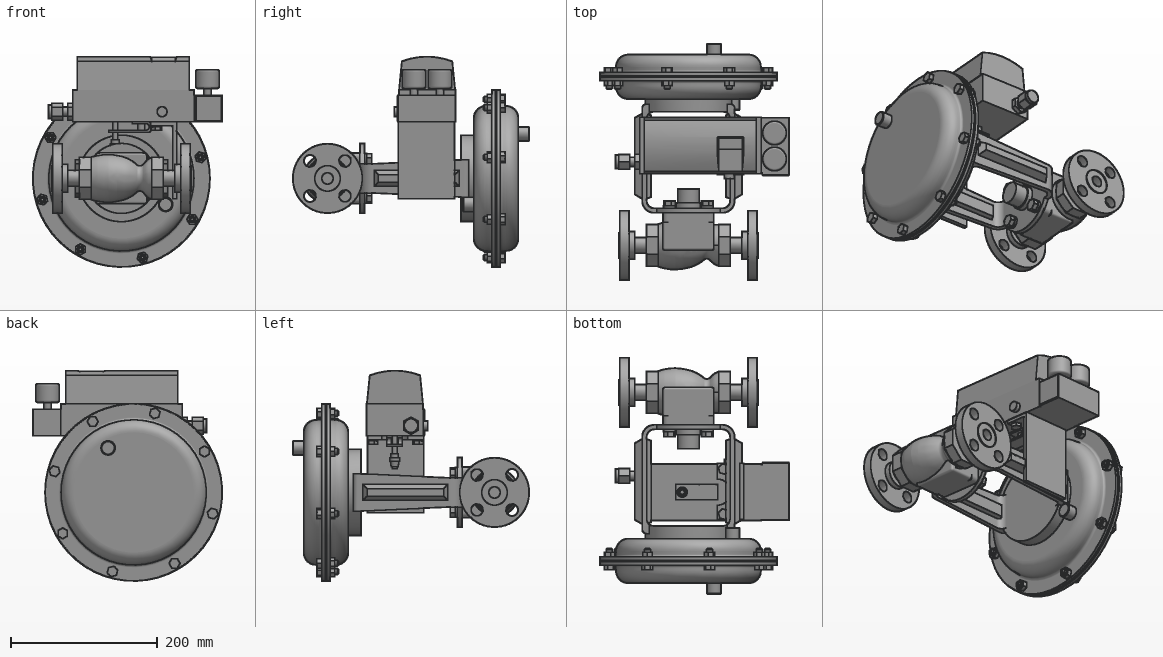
import cadquery as cq
import math


X_DIR = (1, 0, 0)
Y_DIR = (0, 1, 0)
Z_DIR = (0, 0, 1)
HEX = 6
OCTAGON = 8

flange_radius = 120.8
flange_back_y = 235.5
flange_front_y = 224.0
gasket_radius = 119.8
gasket_back_y = 230.5
gasket_front_y = 228.7
dome_radius = 99.0
dome_back_y = 260.0
dome_front_y = 199.0
dome_corner = 17.0
dome_flare = 3.2
bolt_count = 8
bolt_circle = 111.5
first_bolt_angle = 15
bolt_across_flats = 13.0
bolt_head_height = 6.5
stud_radius = 4.2
stud_length = 11.5
stud_chamfer = 2.0
port_radius = 9.7
port_chamfer = 1.0
supply_port_x = 34.8
supply_port_z = 60.5
supply_port_end_y = 274.8
vent_port_x = 60.2
vent_port_z = -35.5
vent_port_end_y = 184.3

neck_radius = 59.0
neck_front_y = 181.7
plate_thickness = 6.5
arm_outer_x = 63.0
arm_inner_x = arm_outer_x - plate_thickness
arm_back_y = 192.3
arm_back_rounding = 5.8
arm_neck_fillet = 9.0
arm_bend_radius = 16.8
arm_back_half_width = 25.5
arm_front_half_width = 20.0
mount_radius = 47.7
mount_front_y = 44.0
mount_back_y = mount_front_y + plate_thickness
bend_start_y = mount_front_y + arm_bend_radius
rib_back_y = 179.5
rib_front_y = 63.5
rib_half_width = 11.0
outer_rib_height = 10.0
outer_rib_slope = 5.8
inner_rib_height = 5.8
inner_rib_slope = 2.3

pipe_flange_radius = 47.5
pipe_flange_outer_x = 93.7
pipe_flange_inner_x = 81.0
raised_face_radius = 17.5
raised_face_x = 95.0
hub_radius = 19.0
hub_inner_x = 72.8
pipe_radius = 11.0
bore_radius = 7.7
pipe_hole_radius = 8.0
pipe_hole_offset = 23.8
union_outer_x = 57.3
union_inner_x = 41.2
union_across_flats = 57.3
shoulder_radius = 28.5
globe_inlet = (-union_inner_x, 29.0)
globe_inlet_flank = (-31.0, 32.0)
globe_crown = (-17.7, 33.2)
globe_crown_side = (-12.0, 33.0)
globe_crown_end = (-6.0, 32.0)
globe_outlet_flank = (8.5, 28.0)
globe_waist_start = (21.3, 19.5)
globe_waist = (25.5, 18.5)
globe_waist_end = (29.5, 20.3)
globe_outlet_flare = (34.8, 25.0)
globe_outlet = (union_inner_x, shoulder_radius)
bonnet_half_width = 34.8
bonnet_split_y = 31.5
bonnet_front_y = -6.8
bonnet_edge_radius = 3.2
bonnet_corner_radius = 6.5
boss_radius = 14.8
boss_end_y = 77.0
boss_base_radius = 16.8
boss_base_y = 58.0
bonnet_bolt_offset = 25.8
bonnet_bolt_across_flats = 14.5
bonnet_bolt_turn = 15
washer_radius = 8.5
washer_back_y = 53.8
bonnet_bolt_back_y = 60.5

case_left_x = -66.5
case_right_x = 99.0
case_front_y = 97.3
case_back_y = 174.5
case_bottom_z = 77.0
case_top_z = 120.5
case_mid_y = (case_front_y + case_back_y) / 2
cover_left_x = -60.2
cover_right_x = 92.5
cover_base_half_depth = 38.3
cover_top_half_depth = 34.5
cover_mid_y = case_front_y + cover_base_half_depth
cover_shoulder_z = 159.5
cover_crown_z = 166.0
window_left_x = 41.5
window_right_x = 73.0
window_back_y = 146.0
window_step_y = 130.8
window_floor_z = cover_shoulder_z
window_low_floor_z = 157.0
window_draft = 20
gauge_adapter_front_y = 98.5
gauge_block_left_x = 100.5
gauge_block_right_x = 137.2
gauge_block_front_y = 95.0
gauge_block_back_y = 174.0
gauge_block_top_z = 113.5
gauge_block_chamfer = 1.3
gauge_x = 117.3
gauge_ys = (117.5, 153.0)
gauge_radius = 16.0
gauge_bottom_z = 122.5
gauge_top_z = 148.2
gauge_rounding = 3.0
gauge_stem_radius = 5.0
connection_z = 90.8
cable_gland_y = 113.7
gland_across_flats = 20.3
gland_end_x = -99.5
gland_nut_left_x = -95.0
gland_nut_right_x = -79.5
gland_collar_x = -73.0
gland_end_radius = 9.5
gland_neck_radius = 6.5
plug_x = 55.5
plug_radius = 6.8
plug_end_y = 90.8

bracket_left_x = 39.5
bracket_right_x = 75.5
bracket_thickness = 5.5
bracket_front_y = 96.3
bracket_back_y = 173.0
bracket_bottom_z = -27.7
bracket_notch_radius = 17.7
bracket_bolt_x = 48.0
bracket_bolt_ys = (104.5, 166.0)
bracket_bolt_turn = 15
bracket_bolt_neck_radius = 4.0
bracket_bolt_head_top_z = 70.2
bracket_bolt_head_bottom_z = 65.5
lever_left_x = -17.5
lever_upper_left_x = 14.5
lever_right_x = 40.3
lever_top_z = case_bottom_z
lever_bottom_z = 63.0
lever_thickness = 2.5
lever_width = 21.3
lever_outer_rounding = 2.5
lever_inner_rounding = 4.0
spindle_x = 27.0
spindle_radius = 4.8
post_x = -8.5
post_radius = 3.5
post_end_profile = [
    (5.0, 52.5), (5.0, 47.5), (6.8, 47.5), (6.8, 42.2), (5.8, 42.2), (4.8, 35.0), (3.2, 35.0), (3.2, 32.5)
]


def rod(radius, start, end):
    """Cylinder between two points."""
    axis = cq.Vector(*end) - cq.Vector(*start)
    return cq.Workplane(cq.Solid.makeCylinder(radius, axis.Length, cq.Vector(*start), axis))


def prism(sides, across_flats, start, end, corner_direction):
    """Regular prism between two points, with a corner pointing along corner_direction."""
    axis = cq.Vector(*end) - cq.Vector(*start)
    plane = cq.Plane(origin=start, xDir=corner_direction, normal=axis.toTuple())
    corner_diameter = across_flats / math.cos(math.pi / sides)
    return cq.Workplane(plane).polygon(sides, corner_diameter).extrude(axis.Length)


def block(x_range, y_range, z_range):
    """Box between pairs of limits along X, Y and Z."""
    size = [limits[1] - limits[0] for limits in (x_range, y_range, z_range)]
    corner = (x_range[0], y_range[0], z_range[0])
    return cq.Workplane("XY").box(*size, centered=False).translate(corner)


def mirrored_in_x(shape):
    """A shape together with its mirror image across the YZ plane."""
    return shape.union(shape.mirror("YZ"))



def diaphragm_case():
    flare_radius = dome_radius + dome_flare
    flare_mid = dome_radius + dome_flare * (1 - math.sqrt(0.5))
    flare_rise = dome_flare * (1 - math.sqrt(0.5))
    corner_bulge = dome_corner * math.sqrt(0.5)
    corner_center_radius = dome_radius - dome_corner
    return (
        cq.Workplane("XY")
        .moveTo(0, dome_front_y)
        .lineTo(corner_center_radius, dome_front_y)
        .threePointArc(
            (corner_center_radius + corner_bulge, dome_front_y + dome_corner - corner_bulge),
            (dome_radius, dome_front_y + dome_corner),
        )
        .lineTo(dome_radius, flange_front_y - dome_flare)
        .threePointArc((flare_mid, flange_front_y - flare_rise), (flare_radius, flange_front_y))
        .lineTo(flange_radius, flange_front_y)
        .lineTo(flange_radius, gasket_front_y)
        .lineTo(gasket_radius, gasket_front_y)
        .lineTo(gasket_radius, gasket_back_y)
        .lineTo(flange_radius, gasket_back_y)
        .lineTo(flange_radius, flange_back_y)
        .lineTo(flare_radius, flange_back_y)
        .threePointArc((flare_mid, flange_back_y + flare_rise), (dome_radius, flange_back_y + dome_flare))
        .lineTo(dome_radius, dome_back_y - dome_corner)
        .threePointArc(
            (corner_center_radius + corner_bulge, dome_back_y - dome_corner + corner_bulge),
            (corner_center_radius, dome_back_y),
        )
        .lineTo(0, dome_back_y)
        .close()
        .revolve(360, (0, 0, 0), Y_DIR)
    )


def case_bolt():
    """Head, nut and stud end of one case bolt, on the +X side of the flange."""
    head = prism(
        HEX, bolt_across_flats,
        (bolt_circle, flange_back_y, 0), (bolt_circle, flange_back_y + bolt_head_height, 0), X_DIR,
    )
    nut = prism(
        HEX, bolt_across_flats,
        (bolt_circle, flange_front_y, 0), (bolt_circle, flange_front_y - bolt_head_height, 0), Z_DIR,
    )
    stud_end_y = flange_front_y - stud_length
    stud = rod(stud_radius, (bolt_circle, flange_back_y, 0), (bolt_circle, stud_end_y, 0))
    stud = stud.faces("<Y").chamfer(stud_chamfer)
    return head.union(nut).union(stud)


def make_actuator():
    body = diaphragm_case()
    bolt = case_bolt()
    for index in range(bolt_count):
        angle = first_bolt_angle + index * 360 / bolt_count
        body = body.union(bolt.rotate((0, 0, 0), Y_DIR, -angle))
    supply_port = rod(
        port_radius,
        (supply_port_x, flange_back_y, supply_port_z),
        (supply_port_x, supply_port_end_y, supply_port_z),
    ).faces(">Y").chamfer(port_chamfer)
    vent_port = rod(
        port_radius,
        (vent_port_x, flange_front_y, vent_port_z),
        (vent_port_x, vent_port_end_y, vent_port_z),
    ).faces("<Y").chamfer(port_chamfer)
    return body.union(supply_port).union(vent_port)



def arm_blank():
    """The +X arm as a bent strip, at its full width, running from the neck to the mounting disc."""
    inner_bend_radius = arm_bend_radius - plate_thickness
    bend_center_x = arm_outer_x - arm_bend_radius
    outer_mid = arm_bend_radius * math.sqrt(0.5)
    inner_mid = inner_bend_radius * math.sqrt(0.5)
    back_center_x = arm_outer_x - arm_back_rounding
    back_center_y = arm_back_y - arm_back_rounding
    back_mid = arm_back_rounding * math.sqrt(0.5)
    fillet_center_x = arm_inner_x - arm_neck_fillet
    fillet_center_y = neck_front_y - arm_neck_fillet
    fillet_mid = arm_neck_fillet * math.sqrt(0.5)
    return (
        cq.Workplane("XY", origin=(0, 0, -arm_back_half_width))
        .moveTo(0, mount_front_y)
        .lineTo(bend_center_x, mount_front_y)
        .threePointArc((bend_center_x + outer_mid, bend_start_y - outer_mid), (arm_outer_x, bend_start_y))
        .lineTo(arm_outer_x, back_center_y)
        .threePointArc((back_center_x + back_mid, back_center_y + back_mid), (back_center_x, arm_back_y))
        .lineTo(0, arm_back_y)
        .lineTo(0, neck_front_y)
        .lineTo(fillet_center_x, neck_front_y)
        .threePointArc(
            (fillet_center_x + fillet_mid, fillet_center_y + fillet_mid), (arm_inner_x, fillet_center_y)
        )
        .lineTo(arm_inner_x, bend_start_y)
        .threePointArc((bend_center_x + inner_mid, bend_start_y - inner_mid), (bend_center_x, mount_back_y))
        .lineTo(0, mount_back_y)
        .close()
        .extrude(2 * arm_back_half_width)
    )


def arm_side_outline():
    """Tapered side outline of an arm, as a slab wide enough to trim the bent strip."""
    return (
        cq.Workplane("YZ")
        .polyline([
            (mount_front_y, -arm_front_half_width),
            (bend_start_y, -arm_front_half_width),
            (neck_front_y, -arm_back_half_width),
            (arm_back_y, -arm_back_half_width),
            (arm_back_y, arm_back_half_width),
            (neck_front_y, arm_back_half_width),
            (bend_start_y, arm_front_half_width),
            (mount_front_y, arm_front_half_width),
        ])
        .close()
        .extrude(arm_outer_x)
    )


def arm_rib(base_x, tip_x, slope):
    """Raised rib with sloping sides, from the arm face at base_x to its narrower top at tip_x."""
    middle_y = (rib_back_y + rib_front_y) / 2
    length = rib_back_y - rib_front_y
    return (
        cq.Workplane("YZ", origin=(base_x, middle_y, 0))
        .rect(length, 2 * rib_half_width)
        .workplane(offset=tip_x - base_x)
        .rect(length - 2 * slope, 2 * (rib_half_width - slope))
        .loft(ruled=True)
    )


def make_yoke():
    arm = arm_blank().intersect(arm_side_outline())
    arm = arm.union(arm_rib(arm_outer_x, arm_outer_x + outer_rib_height, outer_rib_slope))
    arm = arm.union(arm_rib(arm_inner_x, arm_inner_x - inner_rib_height, inner_rib_slope))
    neck = rod(neck_radius, (0, neck_front_y, 0), (0, dome_front_y, 0))
    disc = rod(mount_radius, (0, mount_front_y, 0), (0, mount_back_y, 0))
    return mirrored_in_x(arm).union(neck).union(disc)



def globe():
    """Rounded valve chamber: a wide bowl on the inlet side and a waist on the outlet side."""
    return (
        cq.Workplane("XY")
        .moveTo(-union_inner_x, 0)
        .lineTo(*globe_inlet)
        .threePointArc(globe_inlet_flank, globe_crown)
        .threePointArc(globe_crown_side, globe_crown_end)
        .threePointArc(globe_outlet_flank, globe_waist_start)
        .threePointArc(globe_waist, globe_waist_end)
        .threePointArc(globe_outlet_flare, globe_outlet)
        .lineTo(union_inner_x, 0)
        .close()
        .revolve(360, (0, 0, 0), X_DIR)
    )


def pipe_end():
    """Union nut, pipe, hub and drilled flange of the +X pipe end."""
    nut_corner = (0, math.cos(math.pi / OCTAGON), math.sin(math.pi / OCTAGON))
    end = prism(OCTAGON, union_across_flats, (union_inner_x, 0, 0), (union_outer_x, 0, 0), nut_corner)
    end = end.union(rod(pipe_radius, (union_inner_x, 0, 0), (pipe_flange_inner_x, 0, 0)))
    end = end.union(rod(hub_radius, (hub_inner_x, 0, 0), (pipe_flange_inner_x, 0, 0)))
    end = end.union(rod(pipe_flange_radius, (pipe_flange_inner_x, 0, 0), (pipe_flange_outer_x, 0, 0)))
    end = end.union(rod(raised_face_radius, (pipe_flange_inner_x, 0, 0), (raised_face_x, 0, 0)))
    for y in (-pipe_hole_offset, pipe_hole_offset):
        for z in (-pipe_hole_offset, pipe_hole_offset):
            end = end.cut(rod(pipe_hole_radius, (pipe_flange_inner_x, y, z), (pipe_flange_outer_x, y, z)))
    return end.cut(rod(bore_radius, (union_inner_x, 0, 0), (raised_face_x, 0, 0)))


def bonnet():
    """Square bonnet block with its stem boss and four screws."""
    limits = (-bonnet_half_width, bonnet_half_width)
    lower = block(limits, (bonnet_front_y, bonnet_split_y), limits)
    lower = lower.edges("|Y or <Y").fillet(bonnet_edge_radius)
    upper = block(limits, (bonnet_split_y, mount_front_y), limits)
    upper = upper.edges("|Y").fillet(bonnet_corner_radius)
    shape = lower.union(upper)
    shape = shape.union(rod(boss_base_radius, (0, mount_front_y, 0), (0, boss_base_y, 0)))
    shape = shape.union(rod(boss_radius, (0, mount_front_y, 0), (0, boss_end_y, 0)))
    turn = math.radians(bonnet_bolt_turn)
    head_corner = (math.cos(turn), 0, math.sin(turn))
    for x in (-bonnet_bolt_offset, bonnet_bolt_offset):
        for z in (-bonnet_bolt_offset, bonnet_bolt_offset):
            shape = shape.union(rod(stud_radius, (x, mount_front_y, z), (x, washer_back_y, z)))
            shape = shape.union(rod(washer_radius, (x, mount_back_y, z), (x, washer_back_y, z)))
            shape = shape.union(prism(
                HEX, bonnet_bolt_across_flats, (x, washer_back_y, z), (x, bonnet_bolt_back_y, z), head_corner
            ))
    return shape


def make_valve():
    shoulder = rod(shoulder_radius, (-union_inner_x, 0, 0), (union_inner_x, 0, 0))
    shoulder = shoulder.intersect(block(
        (-union_inner_x, union_inner_x), (0, shoulder_radius), (-shoulder_radius, shoulder_radius)
    ))
    return globe().union(shoulder).union(bonnet()).union(mirrored_in_x(pipe_end()))



def cover():
    """Crowned cover with leaning front and back walls, and the stepped display window in it."""
    shape = (
        cq.Workplane("YZ", origin=(cover_left_x, cover_mid_y, 0))
        .moveTo(-cover_base_half_depth, case_top_z)
        .lineTo(cover_base_half_depth, case_top_z)
        .lineTo(cover_top_half_depth, cover_shoulder_z)
        .threePointArc((0, cover_crown_z), (-cover_top_half_depth, cover_shoulder_z))
        .close()
        .extrude(cover_right_x - cover_left_x)
    )
    window = (
        cq.Workplane("XY", origin=((window_left_x + window_right_x) / 2, case_front_y, window_floor_z))
        .rect(window_right_x - window_left_x, 2 * (window_back_y - case_front_y))
        .extrude(cover_crown_z - window_floor_z, taper=-window_draft)
    )
    low_floor = block(
        (window_left_x, window_right_x),
        (window_step_y, window_back_y),
        (window_low_floor_z, window_floor_z),
    )
    return shape.cut(window).cut(low_floor)


def gauge_block():
    """Side block with two round gauges standing on stems."""
    adapter = block(
        (case_right_x, gauge_block_left_x),
        (gauge_adapter_front_y, gauge_block_back_y),
        (case_bottom_z, gauge_block_top_z),
    )
    body = block(
        (gauge_block_left_x, gauge_block_right_x),
        (gauge_block_front_y, gauge_block_back_y),
        (case_bottom_z, gauge_block_top_z),
    )
    shape = adapter.union(body.faces("<Y").edges().chamfer(gauge_block_chamfer))
    for y in gauge_ys:
        dial = rod(gauge_radius, (gauge_x, y, gauge_bottom_z), (gauge_x, y, gauge_top_z))
        stem = rod(gauge_stem_radius, (gauge_x, y, gauge_block_top_z), (gauge_x, y, gauge_bottom_z))
        shape = shape.union(stem).union(dial.edges().fillet(gauge_rounding))
    return shape


def cable_gland():
    def at(x):
        return (x, cable_gland_y, connection_z)

    end = rod(gland_end_radius, at(gland_end_x), at(gland_nut_left_x))
    nut = prism(HEX, gland_across_flats, at(gland_nut_left_x), at(gland_nut_right_x), Z_DIR)
    neck = rod(gland_neck_radius, at(gland_nut_right_x), at(gland_collar_x))
    collar = prism(HEX, gland_across_flats, at(gland_collar_x), at(case_left_x), Z_DIR)
    return end.union(nut).union(neck).union(collar)


def bracket():
    """Angle bracket: notched foot under the case, upright leg, and the two foot bolts."""
    y_limits = (bracket_front_y, bracket_back_y)
    foot_bottom_z = case_bottom_z - bracket_thickness
    foot = block((bracket_left_x, bracket_right_x), y_limits, (foot_bottom_z, case_bottom_z))
    leg_left_x = bracket_right_x - bracket_thickness
    leg = block((leg_left_x, bracket_right_x), y_limits, (bracket_bottom_z, case_bottom_z))
    notch_center = (bracket_left_x, case_mid_y)
    notch = rod(bracket_notch_radius, (*notch_center, foot_bottom_z), (*notch_center, case_bottom_z))
    shape = foot.cut(notch).union(leg)
    turn = math.radians(bracket_bolt_turn)
    head_corner = (math.cos(turn), math.sin(turn), 0)
    for y in bracket_bolt_ys:
        shape = shape.union(rod(
            bracket_bolt_neck_radius,
            (bracket_bolt_x, y, foot_bottom_z),
            (bracket_bolt_x, y, bracket_bolt_head_top_z),
        ))
        shape = shape.union(prism(
            HEX, bolt_across_flats,
            (bracket_bolt_x, y, bracket_bolt_head_top_z),
            (bracket_bolt_x, y, bracket_bolt_head_bottom_z),
            head_corner,
        ))
    return shape


def feedback_lever():
    """U-bent lever with its spindle, and the post with the clamping tip."""
    y_limits = (case_mid_y - lever_width / 2, case_mid_y + lever_width / 2)
    loop = block((lever_left_x, lever_right_x), y_limits, (lever_bottom_z, lever_top_z))
    loop = loop.edges("|Y and >X").fillet(lever_outer_rounding)
    opening = block(
        (lever_left_x, lever_right_x - lever_thickness),
        y_limits,
        (lever_bottom_z + lever_thickness, lever_top_z - lever_thickness),
    )
    opening = opening.edges("|Y and >X").fillet(lever_inner_rounding)
    upper_trim = block(
        (lever_left_x, lever_upper_left_x), y_limits, (lever_top_z - lever_thickness, lever_top_z)
    )
    loop = loop.cut(opening).cut(upper_trim)
    spindle = rod(
        spindle_radius, (spindle_x, case_mid_y, lever_bottom_z), (spindle_x, case_mid_y, lever_top_z)
    )
    top_z = post_end_profile[0][1]
    bottom_z = post_end_profile[-1][1]
    post = rod(post_radius, (post_x, case_mid_y, top_z), (post_x, case_mid_y, case_bottom_z))
    post_end = (
        cq.Workplane("XZ", origin=(post_x, case_mid_y, 0))
        .polyline([(0, top_z), *post_end_profile, (0, bottom_z)])
        .close()
        .revolve(360, (0, 0, 0), Y_DIR)
    )
    return loop.union(spindle).union(post).union(post_end)


def make_positioner():
    case = block((case_left_x, case_right_x), (case_front_y, case_back_y), (case_bottom_z, case_top_z))
    plug = rod(plug_radius, (plug_x, case_front_y, connection_z), (plug_x, plug_end_y, connection_z))
    shape = case.union(cover()).union(gauge_block()).union(cable_gland()).union(plug)
    return shape.union(bracket()).union(feedback_lever())



actuator = make_actuator()
valve = make_valve()
yoke = make_yoke().cut(valve)
positioner = make_positioner().cut(yoke)

result = cq.Compound.makeCompound([
    actuator.solids().val(),
    yoke.solids().val(),
    valve.solids().val(),
    positioner.solids().val(),
])